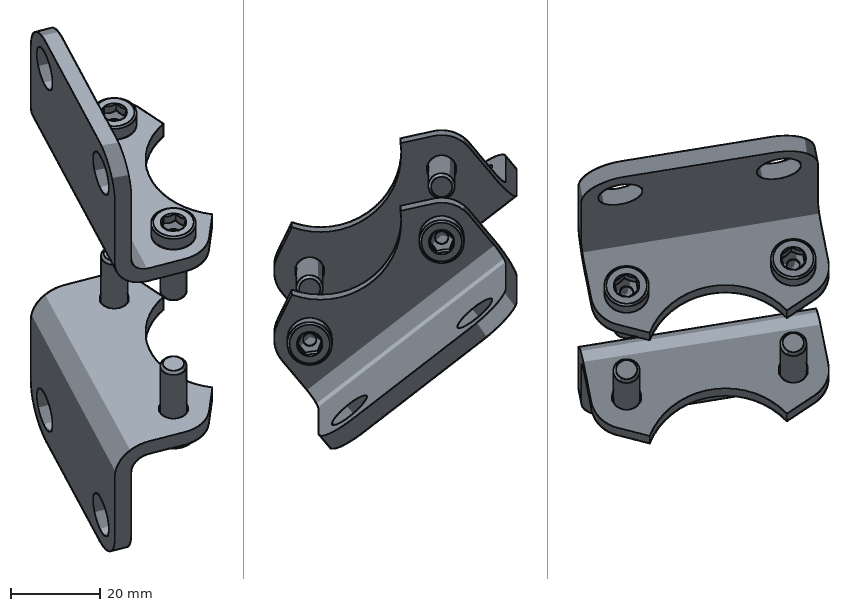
import cadquery as cq
import math

overall_height = 124.0
bracket_height = 37.1
bracket_width = 54.0
flange_depth = 27.5

sheet = 4.0
bend_inner_radius = 4.1
bend_outer_radius = bend_inner_radius + sheet

plate_corner_radius = 9.9
plate_hole_diameter = 10.0
plate_hole_inset = 8.9

saddle_radius = 18.1
saddle_centre_y = 36.7
screw_spacing = 38.0
screw_y = 17.0
screw_clearance_diameter = 6.6

shank_diameter = 6.0
shank_projection = 14.0
tip_chamfer_height = 0.7
tip_chamfer_width = 0.6
head_diameter = 10.0
head_height = 4.1
head_chamfer_height = 0.4
head_chamfer_width = 0.5

socket_flats = 5.0
socket_depth = 2.1
socket_cone_slope = 45.0
pilot_diameter = 3.0
pilot_depth = 0.4

half_width = bracket_width / 2
screw_x = screw_spacing / 2
bracket_top = overall_height / 2
flange_bottom = bracket_top - bracket_height
flange_top = flange_bottom + sheet
flange_corner_radius = half_width - screw_x
socket_corners = socket_flats / math.cos(math.pi / 6)


def polar(centre, radius, angle):
    """Point at the given distance and angle (radians) from a centre."""
    return (centre[0] + radius * math.cos(angle), centre[1] + radius * math.sin(angle))


def bent_sheet():
    """L-shaped sheet with a rounded bend, running the full width along X."""
    bend_middle = math.radians(225)
    bend_centre = (bend_outer_radius, flange_bottom + bend_outer_radius)
    return (
        cq.Workplane("YZ", origin=(-half_width, 0, 0))
        .moveTo(0, bracket_top)
        .lineTo(0, bend_centre[1])
        .threePointArc(polar(bend_centre, bend_outer_radius, bend_middle), (bend_centre[0], flange_bottom))
        .lineTo(flange_depth, flange_bottom)
        .lineTo(flange_depth, flange_top)
        .lineTo(bend_centre[0], flange_top)
        .threePointArc(polar(bend_centre, bend_inner_radius, bend_middle), (sheet, bend_centre[1]))
        .lineTo(sheet, bracket_top)
        .close()
        .extrude(bracket_width)
    )


def flange_envelope():
    """Plan outline of the bracket: corners concentric with the screws, then straight edges to two tips."""
    tip_x = math.sqrt(saddle_radius**2 - (saddle_centre_y - flange_depth) ** 2)
    tip_dx = tip_x - screw_x
    tip_dy = flange_depth - screw_y
    tip_angle = math.atan2(tip_dy, tip_dx)
    tangent_angle = tip_angle - math.acos(flange_corner_radius / math.hypot(tip_dx, tip_dy))
    corner_centre = (screw_x, screw_y)
    tangent = polar(corner_centre, flange_corner_radius, tangent_angle)
    corner_middle = polar(corner_centre, flange_corner_radius, tangent_angle / 2)
    return (
        cq.Workplane("XY", origin=(0, 0, flange_bottom))
        .moveTo(-half_width, 0)
        .lineTo(half_width, 0)
        .lineTo(half_width, screw_y)
        .threePointArc(corner_middle, tangent)
        .lineTo(tip_x, flange_depth)
        .threePointArc((0, saddle_centre_y - saddle_radius), (-tip_x, flange_depth))
        .lineTo(-tangent[0], tangent[1])
        .threePointArc((-corner_middle[0], corner_middle[1]), (-half_width, screw_y))
        .close()
        .extrude(bracket_height)
    )


def make_bracket():
    """Upper angle bracket with two plate holes and two screw clearance holes."""
    plate_hole_x = half_width - plate_hole_inset
    plate_hole_z = bracket_top - plate_hole_inset
    plate_holes = (
        cq.Workplane("XZ")
        .pushPoints([(-plate_hole_x, plate_hole_z), (plate_hole_x, plate_hole_z)])
        .circle(plate_hole_diameter / 2)
        .extrude(-sheet)
    )
    screw_holes = (
        cq.Workplane("XY", origin=(0, 0, flange_bottom))
        .pushPoints([(-screw_x, screw_y), (screw_x, screw_y)])
        .circle(screw_clearance_diameter / 2)
        .extrude(sheet)
    )
    return (
        bent_sheet()
        .intersect(flange_envelope())
        .edges("|Y and >Z")
        .fillet(plate_corner_radius)
        .cut(plate_holes)
        .cut(screw_holes)
    )


def make_socket():
    """Cutter for the hexagon socket: countersink out to the corners, hexagon, conical floor and pilot point."""
    cone_slope = math.tan(math.radians(socket_cone_slope))
    corner_radius = socket_corners / 2
    pilot_radius = pilot_diameter / 2
    floor_z = head_height - socket_depth
    pilot_top = floor_z - (corner_radius - pilot_radius) * cone_slope
    pilot_bottom = pilot_top - pilot_depth
    point_z = pilot_bottom - pilot_radius * cone_slope
    bore = (
        cq.Workplane("XZ")
        .moveTo(0, head_height)
        .lineTo(corner_radius, head_height)
        .lineTo(corner_radius, floor_z)
        .lineTo(pilot_radius, pilot_top)
        .lineTo(pilot_radius, pilot_bottom)
        .lineTo(0, point_z)
        .close()
        .revolve(360, (0, 0), (0, 1))
    )
    hexagon = (
        cq.Workplane("XY", origin=(0, 0, point_z))
        .transformed(rotate=(0, 0, 90))
        .polygon(6, socket_corners)
        .extrude(head_height - point_z)
    )
    countersink = (
        cq.Workplane("XZ")
        .moveTo(0, head_height)
        .lineTo(corner_radius, head_height)
        .lineTo(0, head_height - corner_radius * cone_slope)
        .close()
        .revolve(360, (0, 0), (0, 1))
    )
    return bore.intersect(hexagon).union(countersink)


def make_screw():
    """Socket screw along Z, underside of the head at Z = 0, both head edges chamfered."""
    shank_radius = shank_diameter / 2
    head_radius = head_diameter / 2
    head_face_radius = head_radius - head_chamfer_width
    tip_z = -(sheet + shank_projection)
    body = (
        cq.Workplane("XZ")
        .moveTo(0, tip_z)
        .lineTo(shank_radius - tip_chamfer_width, tip_z)
        .lineTo(shank_radius, tip_z + tip_chamfer_height)
        .lineTo(shank_radius, 0)
        .lineTo(head_face_radius, 0)
        .lineTo(head_radius, head_chamfer_height)
        .lineTo(head_radius, head_height - head_chamfer_height)
        .lineTo(head_face_radius, head_height)
        .lineTo(0, head_height)
        .close()
        .revolve(360, (0, 0), (0, 1))
    )
    return body.cut(make_socket())


upper_bracket = make_bracket()
lower_bracket = upper_bracket.mirror("XY")

screws = []
for x in (-screw_x, screw_x):
    upper_screw = make_screw().translate((x, screw_y, flange_top))
    screws.append(upper_screw.val())
    screws.append(upper_screw.mirror("XY").val())

result = cq.Compound.makeCompound([upper_bracket.val(), lower_bracket.val(), *screws])